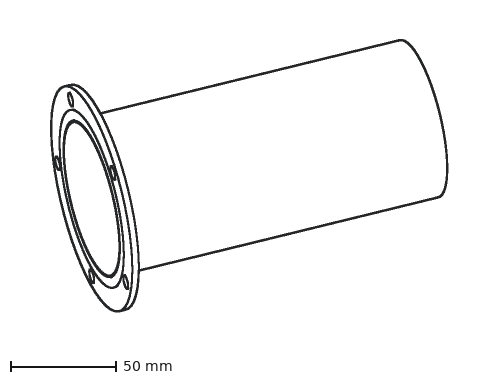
import cadquery as cq

total_length = 166.0
flange_diameter = 110.0
flange_thickness = 3.3
tube_diameter = 77.0
wall = 1.0

groove_outer_diameter = 87.0
groove_inner_diameter = 76.4

hole_count = 5
hole_diameter = 6.6
hole_circle_diameter = 97.0

flange_radius = flange_diameter / 2
tube_radius = tube_diameter / 2
bore_radius = tube_radius - wall
groove_radius = (groove_outer_diameter - groove_inner_diameter) / 4
groove_centre_radius = (groove_outer_diameter + groove_inner_diameter) / 4


def make_body():
    """Revolve the wall section: closed far end, straight bore, and flange."""
    profile = (
        cq.Workplane("XY")
        .moveTo(0, total_length)
        .lineTo(tube_radius, total_length)
        .lineTo(tube_radius, flange_thickness)
        .lineTo(flange_radius, flange_thickness)
        .lineTo(flange_radius, 0)
        .lineTo(bore_radius, 0)
        .lineTo(bore_radius, total_length - wall)
        .lineTo(0, total_length - wall)
        .close()
    )
    return profile.revolve(360, (0, 0, 0), (0, 1, 0))


def make_groove():
    """Ring of circular section centred on the flange face; its inner half is the groove."""
    section = cq.Workplane("XY").center(groove_centre_radius, 0).circle(groove_radius)
    return section.revolve(360, (-groove_centre_radius, 0, 0), (-groove_centre_radius, 1, 0))


def make_holes():
    """Holes through the flange, evenly spaced with one at the bottom."""
    return (
        cq.Workplane("XZ")
        .polarArray(hole_circle_diameter / 2, -90, 360, hole_count)
        .circle(hole_diameter / 2)
        .extrude(-flange_thickness)
    )


result = make_body().cut(make_groove()).cut(make_holes())